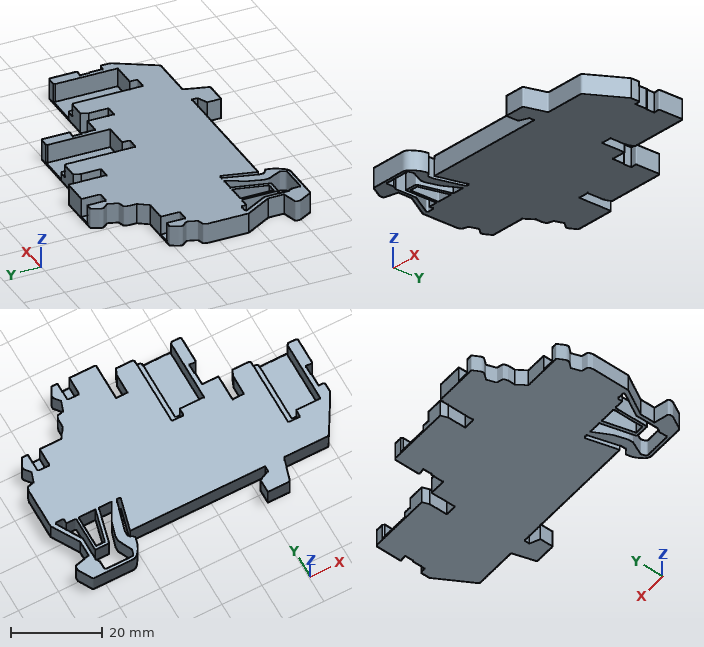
import cadquery as cq
import math


LENGTH = 70.0
HEIGHT = 46.5
THICKNESS = 5.0

KNOB_SHIFT = 14.2
SOCKET_SHIFT = 22.3
UPPER_SOCKET_Y = 43.7
LOWER_SOCKET_Y = 31.2
LOWER_KNOB_Y = 34.0
UPPER_TOP_END_X = 27.95
TIER_RAMP_FOOT_X = 12.5
TIER_RAMP_RISE = 2.45
TOP_END_RADIUS = 0.3

NOTCH_WIDTH = 2.85
NOTCH_DEPTH = 6.5
LEAD_IN_WIDTH = 0.65
LEAD_IN_HEIGHT = 1.7
BLOCK_RIGHT = LENGTH - UPPER_TOP_END_X - SOCKET_SHIFT
GROOVE_TOP = 6.85
GROOVE_LIP = 0.15
GROOVE_STEP_DROP = 9.15
GROOVE_BOTTOM = UPPER_SOCKET_Y - LOWER_SOCKET_Y
GROOVE_DEPTH = 1.7
GROOVE_STEP = 0.2
SOCKET_RADIUS = 0.45

POCKET_FLOOR = 0.4
POCKET_RADIUS = 0.3
CHANNEL_DEPTH = 3.0
CHANNEL_LEFT = 8.0
CAVITY_LEFT = 9.87
CHANNEL_FOOT_RIGHT = 10.95
CAVITY_RIGHT = 17.05
CAVITY_LENGTH = 15.55
CHANNEL_LENGTH = 17.4
MOUTH_FLARE = 0.35
TEST_POCKET_LEFT = 4.15
TEST_POCKET_WIDTH = 2.95
TEST_POCKET_LENGTH = 4.6

BASE_Y = 6.58
BEVEL_START_X = 64.4
BEVEL_END_Y = 16.15
FOOT_LEFT = 46.0
FOOT_NECK_LEFT = 48.5
FOOT_NECK_RIGHT = 53.25
FOOT_TIP_RIGHT = 51.55
FOOT_BOTTOM = 0.66
FOOT_BARB_Y = 4.1
FOOT_NECK_Y = 5.2
FOOT_RADIUS = 0.35
BEVEL_RADIUS = 0.6

LATCH_TOP_Y = 14.93
LATCH_SHOULDER_Y = 15.95
ARM_BEND_Y = 9.4
ARM_OUTER_X = 3.85
ARM_WIDTH = 0.9
WINDOW_LEFT = 5.35
LATCH_FLOOR = 0.8
SLIT_RIGHT_BOTTOM_X = 14.8
SLIT_RIGHT_TOP_X = 16.95
SLIT_LEFT_TOP_X = 15.95
SLIT_END_RADIUS = 0.3
SLIT_BEND_X = 13.78
SLIT_BEND_RADIUS = 0.8
SPRING_INNER_X = 11.28
SPRING_BEND_RADIUS = 0.5
NOSE_X = 15.05
NOSE_Y = 4.8
HEEL_RADIUS = 6.0
TOE_RADIUS = 2.0
CLAW_BOTTOM_X = 1.95
CLAW_LOWER_Y = 3.45
CLAW_UPPER_Y = 4.6
CLAW_ROOT_Y = 5.55
CLAW_RADIUS = 0.45
ARM_RELIEF_TOP = 16.2
ARM_RELIEF_RIGHT = 3.4
ARM_RELIEF_RADIUS = 0.35
LOOP_LEFT = 5.8
LOOP_BOTTOM = 6.07
LOOP_WALL = 0.65
LOOP_FLOOR = 0.8
LOOP_ROOT_RADIUS = 0.25


def rounded_wire(corners):
    """Closed outline with a tangent arc at every corner that has a radius."""
    stretches = []
    for index, corner in enumerate(corners):
        here = cq.Vector(corner[0], corner[1])
        radius = corner[2] if len(corner) > 2 else 0
        if not radius:
            stretches.append([here])
            continue
        before = cq.Vector(*corners[index - 1][:2])
        after = cq.Vector(*corners[(index + 1) % len(corners)][:2])
        to_before = (before - here).normalized()
        to_after = (after - here).normalized()
        half_angle = to_before.getAngle(to_after) / 2
        setback = radius / math.tan(half_angle)
        bisector = (to_before + to_after).normalized()
        middle = here + bisector * (radius / math.sin(half_angle) - radius)
        stretches.append([here + to_before * setback, middle, here + to_after * setback])

    outline = cq.Workplane("XY").moveTo(*stretches[0][-1].toTuple()[:2])
    for stretch in stretches[1:] + stretches[:1]:
        outline = outline.lineTo(*stretch[0].toTuple()[:2])
        if len(stretch) > 1:
            outline = outline.threePointArc(stretch[1].toTuple()[:2], stretch[2].toTuple()[:2])
    return outline.close()


def prism(corners, floor=0.0):
    """Solid with the given outline from the floor height up to the top face."""
    return rounded_wire(corners).extrude(THICKNESS - floor).translate((0, 0, floor))


def knob_corners(x, top_y):
    """Latch knob on the left side, from the shoulder below it to its top edge."""
    return [
        (x, top_y - 8.15),
        (x + 0.3, top_y - 7.05, 0.3),
        (x + 2.0, top_y - 6.6, 0.2),
        (x + 2.8, top_y - 4.2, 0.1),
        (x + 1.55, top_y - 2.7, 0.5),
        (x + 1.55, top_y - 2.0, 1.3),
        (x + 2.65, top_y, 0.2),
    ]


def socket_corners(x, top_y):
    """Notch, socket block and side groove, from the notch floor to the groove floor."""
    notch_right = x + NOTCH_WIDTH
    block_right = x + BLOCK_RIGHT
    groove_x = block_right - GROOVE_DEPTH
    groove_top = top_y - GROOVE_TOP
    return [
        (x, top_y - NOTCH_DEPTH),
        (notch_right, top_y - NOTCH_DEPTH),
        (notch_right, top_y - LEAD_IN_HEIGHT),
        (notch_right + LEAD_IN_WIDTH, top_y),
        (block_right, top_y, SOCKET_RADIUS),
        (block_right, groove_top - GROOVE_LIP, GROOVE_LIP),
        (groove_x, groove_top),
        (groove_x, top_y - GROOVE_STEP_DROP),
        (groove_x + GROOVE_STEP, top_y - GROOVE_STEP_DROP),
        (groove_x + GROOVE_STEP, top_y - GROOVE_BOTTOM),
    ]


def latch_corners():
    """Outer edge of the spring latch, from the slit beside it round to its outer arm."""
    return [
        (SLIT_RIGHT_BOTTOM_X, BASE_Y),
        (SLIT_RIGHT_TOP_X, LATCH_TOP_Y, SLIT_END_RADIUS),
        (SLIT_LEFT_TOP_X, LATCH_TOP_Y),
        (SLIT_BEND_X, 7.1, SLIT_BEND_RADIUS),
        (SLIT_BEND_X, 5.6, SLIT_BEND_RADIUS),
        (NOSE_X, NOSE_Y, 0.1),
        (14.8, 2.8, HEEL_RADIUS),
        (12.8, 0, TOE_RADIUS),
        (CLAW_BOTTOM_X, 0, CLAW_RADIUS),
        (0, CLAW_LOWER_Y, CLAW_RADIUS),
        (0, CLAW_UPPER_Y, CLAW_RADIUS),
        (ARM_OUTER_X, CLAW_ROOT_Y),
        (ARM_OUTER_X, ARM_BEND_Y),
        (0, LATCH_SHOULDER_Y),
    ]


def body():
    """Full profile of the housing, without its windows and pockets."""
    upper_notch_x = UPPER_TOP_END_X
    lower_notch_x = UPPER_TOP_END_X + SOCKET_SHIFT
    corners = knob_corners(0, LOWER_KNOB_Y)
    corners += [
        (TIER_RAMP_FOOT_X, LOWER_KNOB_Y),
        (KNOB_SHIFT, LOWER_KNOB_Y + TIER_RAMP_RISE),
    ]
    corners += knob_corners(KNOB_SHIFT, HEIGHT)
    corners += [(upper_notch_x, HEIGHT, TOP_END_RADIUS)]
    corners += socket_corners(upper_notch_x, UPPER_SOCKET_Y)
    corners += [(lower_notch_x, LOWER_SOCKET_Y)]
    corners += socket_corners(lower_notch_x, LOWER_SOCKET_Y)
    corners += [
        (LENGTH, LOWER_SOCKET_Y - GROOVE_BOTTOM, SOCKET_RADIUS),
        (LENGTH, BEVEL_END_Y),
        (BEVEL_START_X, BASE_Y, BEVEL_RADIUS),
        (FOOT_NECK_RIGHT, BASE_Y, FOOT_RADIUS),
        (FOOT_TIP_RIGHT, FOOT_BOTTOM, FOOT_RADIUS),
        (FOOT_LEFT, FOOT_BOTTOM),
        (FOOT_LEFT, FOOT_BARB_Y),
        (FOOT_NECK_LEFT, FOOT_NECK_Y),
        (FOOT_NECK_LEFT, BASE_Y),
    ]
    corners += latch_corners()
    return prism(corners)


def latch_window():
    """Opening inside the spring latch, running around the stiffening loop."""
    arm_inner_x = ARM_OUTER_X + ARM_WIDTH
    return prism([
        (1.1, ARM_RELIEF_TOP, ARM_RELIEF_RADIUS),
        (ARM_RELIEF_RIGHT, ARM_RELIEF_TOP, ARM_RELIEF_RADIUS),
        (ARM_RELIEF_RIGHT, LATCH_TOP_Y),
        (LOOP_LEFT, LATCH_TOP_Y, LOOP_ROOT_RADIUS),
        (LOOP_LEFT, LOOP_BOTTOM),
        (9.3, LOOP_BOTTOM, 0.3),
        (11.52, LATCH_TOP_Y),
        (14.7, LATCH_TOP_Y),
        (12.35, 10.5),
        (SPRING_INNER_X, 6.9, SPRING_BEND_RADIUS),
        (SPRING_INNER_X, 5.7, SPRING_BEND_RADIUS),
        (12.95, 2.2, 0.3),
        (12.5, LATCH_FLOOR, 0.6),
        (WINDOW_LEFT, LATCH_FLOOR, 0.35),
        (WINDOW_LEFT, 3.0),
        (arm_inner_x, 4.0),
        (arm_inner_x, 9.9, 0.6),
    ])


def loop_window():
    """Tapered opening inside the stiffening loop."""
    left = LOOP_LEFT + LOOP_WALL
    bottom = LOOP_BOTTOM + LOOP_FLOOR
    return prism([
        (left, bottom),
        (8.65, bottom),
        (10.67, LATCH_TOP_Y),
        (left, LATCH_TOP_Y, LOOP_ROOT_RADIUS),
    ])


def test_pocket(x, top_y):
    """Deep pocket open at the top edge beside a latch knob."""
    left = x + TEST_POCKET_LEFT
    right = left + TEST_POCKET_WIDTH
    bottom = top_y - TEST_POCKET_LENGTH
    corners = [
        (left, top_y),
        (left, bottom, POCKET_RADIUS),
        (right, bottom, POCKET_RADIUS),
        (right, top_y),
    ]
    return prism(corners, POCKET_FLOOR)


def plug_cavity(x, top_y):
    """Deep plug cavity open at the top edge, with a flared mouth."""
    left = x + CAVITY_LEFT
    right = x + CAVITY_RIGHT
    bottom = top_y - CAVITY_LENGTH
    corners = [
        (left - MOUTH_FLARE, top_y),
        (left, top_y - MOUTH_FLARE),
        (left, bottom, POCKET_RADIUS),
        (right, bottom),
        (right, top_y - MOUTH_FLARE),
        (right + MOUTH_FLARE, top_y),
    ]
    return prism(corners, POCKET_FLOOR)


def contact_channel(x, top_y):
    """Shallower channel along the cavity, with a short foot below it."""
    left = x + CHANNEL_LEFT
    foot_right = x + CHANNEL_FOOT_RIGHT
    bottom = top_y - CHANNEL_LENGTH
    corners = [
        (left - MOUTH_FLARE, top_y),
        (left, top_y - MOUTH_FLARE),
        (left, bottom, POCKET_RADIUS),
        (foot_right, bottom, POCKET_RADIUS),
        (foot_right, top_y),
    ]
    return prism(corners, THICKNESS - CHANNEL_DEPTH)


result = body().cut(latch_window()).cut(loop_window())

for knob_x, knob_top in [(0, LOWER_KNOB_Y), (KNOB_SHIFT, HEIGHT)]:
    result = result.cut(test_pocket(knob_x, knob_top))

for tier, socket_top in enumerate([UPPER_SOCKET_Y, LOWER_SOCKET_Y]):
    notch_x = UPPER_TOP_END_X + tier * SOCKET_SHIFT
    result = result.cut(plug_cavity(notch_x, socket_top))
    result = result.cut(contact_channel(notch_x, socket_top))